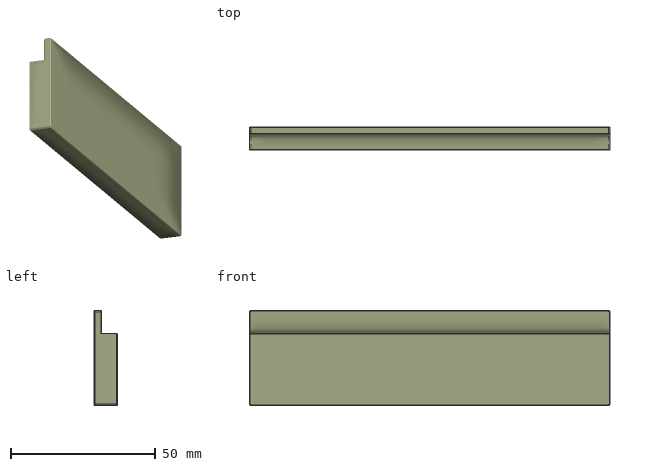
import cadquery as cq

length = 125.0
depth = 8.0
height = 33.0

lip_thickness = 2.5
lip_height = 8.0

corner_bevel = 0.5

edge_bevel = 0.2

shoulder_height = height - lip_height
lip_front = depth - lip_thickness

profile = [
    (0, 0),
    (depth, 0),
    (depth, height),
    (lip_front, height),
    (lip_front, shoulder_height),
    (0, shoulder_height),
]
bar = cq.Workplane("YZ").polyline(profile).close().extrude(length)

bar = bar.faces("<Z or >Z").edges("|Y").chamfer(corner_bevel)

inner_corner_middle = (length / 2, lip_front, shoulder_height)
inner_corner = cq.selectors.NearestToPointSelector(inner_corner_middle)
outline_edges = bar.edges("not |Y").edges(cq.selectors.InverseSelector(inner_corner))
result = outline_edges.chamfer(edge_bevel)